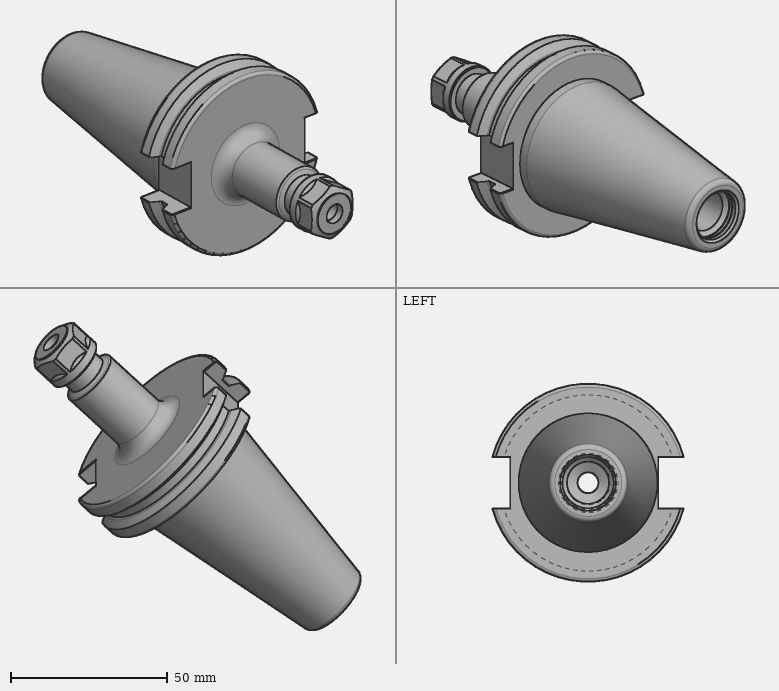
import cadquery as cq
import math


TAPER_RATIO = 7 / 24
GAUGE_DIAMETER = 44.4
GAUGE_X = 68.0
TAPER_END_FILLET = 1.8

FLANGE_DIAMETER = 63.4
FLANGE_START_X = 71.1
FLANGE_END_X = 87.2
RIM_FILLET = 1.0

GROOVE_CENTER_X = 79.2
GROOVE_TOP_WIDTH = 6.7
GROOVE_WALL_DEPTH = 2.8
GROOVE_WALL_ANGLE = 30
GROOVE_FLOOR_WIDTH = 3.0
GROOVE_FLOOR_DIAMETER = 56.4

SLOT_WIDTH = 16.2
SLOT_FLOOR_PLUS_Y = 24.9
SLOT_FLOOR_MINUS_Y = 22.5
SLOT_CHAMFER = 0.3

SHANK_DIAMETER = 19.0
SHANK_END_X = 115.1
SHANK_FILLET = 4.7
SHANK_CHAMFER = 0.8
NOSE_DIAMETER = 14.0
NOSE_STEP_X = 114.4

THROUGH_DIAMETER = 6.6
MOUTH_DIAMETER = 17.9
PILOT_DIAMETER = 16.3
PILOT_START_X = 0.8
BORE_GROOVE_DIAMETER = 16.9
BORE_GROOVE_START_X = 2.5
BORE_GROOVE_END_X = 4.0
THREAD_BORE_DIAMETER = 13.5
THREAD_BORE_END_X = 31.6
DRILL_POINT_ANGLE = 118

NUT_DIAMETER = 19.0
NUT_START_X = 120.3
NUT_END_X = 131.8
NUT_BACK_CHAMFER = 0.4
ACROSS_FLATS = 17.0
FLAT_RUNOUT_START_X = 123.6
FLAT_RUNOUT_END_X = 124.8
NUT_CHAMFER_START_X = 130.2
NUT_FACE_DIAMETER = 14.0
NUT_LIP = 0.4
NUT_WALL = 2.6

NOSE_END_X = NUT_END_X - NUT_WALL


def revolve_about_x(profile):
    """Turn a closed profile, drawn as X and radius in the XY plane, about the X axis."""
    return profile.close().revolve(360, (0, 0, 0), (1, 0, 0))


def cylinder(diameter, start_x, end_x):
    return cq.Workplane("YZ", origin=(start_x, 0, 0)).circle(diameter / 2).extrude(end_x - start_x)


def make_taper():
    small_diameter = GAUGE_DIAMETER - TAPER_RATIO * GAUGE_X
    profile = (
        cq.Workplane("XY")
        .lineTo(0, small_diameter / 2)
        .lineTo(GAUGE_X, GAUGE_DIAMETER / 2)
        .lineTo(FLANGE_START_X, GAUGE_DIAMETER / 2)
        .lineTo(FLANGE_START_X, 0)
    )
    return revolve_about_x(profile).faces("<X").edges().fillet(TAPER_END_FILLET)


def make_flange():
    rim = FLANGE_DIAMETER / 2
    floor = GROOVE_FLOOR_DIAMETER / 2
    half_top = GROOVE_TOP_WIDTH / 2
    half_neck = half_top - GROOVE_WALL_DEPTH * math.tan(math.radians(GROOVE_WALL_ANGLE))
    half_floor = GROOVE_FLOOR_WIDTH / 2
    profile = (
        cq.Workplane("XY")
        .moveTo(FLANGE_START_X, 0)
        .lineTo(FLANGE_START_X, rim)
        .lineTo(GROOVE_CENTER_X - half_top, rim)
        .lineTo(GROOVE_CENTER_X - half_neck, rim - GROOVE_WALL_DEPTH)
        .lineTo(GROOVE_CENTER_X - half_floor, floor)
        .lineTo(GROOVE_CENTER_X + half_floor, floor)
        .lineTo(GROOVE_CENTER_X + half_neck, rim - GROOVE_WALL_DEPTH)
        .lineTo(GROOVE_CENTER_X + half_top, rim)
        .lineTo(FLANGE_END_X, rim)
        .lineTo(FLANGE_END_X, 0)
    )
    return revolve_about_x(profile).faces("<X or >X").edges().fillet(RIM_FILLET)


def make_drive_slot(floor_y, side):
    """Slot cutter through the flange, open toward +Y (side 1) or -Y (side -1)."""
    length = FLANGE_END_X - FLANGE_START_X
    depth = FLANGE_DIAMETER / 2
    center = ((FLANGE_START_X + FLANGE_END_X) / 2, side * (floor_y + depth / 2), 0)
    return cq.Workplane("XY").box(length, depth, SLOT_WIDTH).translate(center)


def bevel_slot_edges(body):
    """Bevel the slot walls where they meet the two flange faces and the two rim lands."""
    land_width = (FLANGE_END_X - FLANGE_START_X) / 2 - GROOVE_TOP_WIDTH / 2
    reach = FLANGE_DIAMETER / 2
    margin = 0.1
    for wall_z in (-SLOT_WIDTH / 2, SLOT_WIDTH / 2):
        for land_x in (FLANGE_START_X, FLANGE_END_X - land_width):
            land_edges = cq.selectors.BoxSelector(
                (land_x - margin, -reach, wall_z - margin),
                (land_x + land_width + margin, reach, wall_z + margin),
            )
            body = body.edges(land_edges).chamfer(SLOT_CHAMFER)
    return body


def make_front_shank():
    shank = SHANK_DIAMETER / 2
    nose = NOSE_DIAMETER / 2
    arc_offset = SHANK_FILLET * (1 - math.sqrt(0.5))
    profile = (
        cq.Workplane("XY")
        .moveTo(FLANGE_END_X, 0)
        .lineTo(FLANGE_END_X, shank + SHANK_FILLET)
        .threePointArc(
            (FLANGE_END_X + arc_offset, shank + arc_offset),
            (FLANGE_END_X + SHANK_FILLET, shank),
        )
        .lineTo(NOSE_STEP_X - SHANK_CHAMFER / 2, shank)
        .lineTo(NOSE_STEP_X, shank - SHANK_CHAMFER)
        .lineTo(SHANK_END_X, nose)
        .lineTo(NOSE_END_X, nose)
        .lineTo(NOSE_END_X, 0)
    )
    return revolve_about_x(profile)


def make_holder_bore():
    thread = THREAD_BORE_DIAMETER / 2
    through = THROUGH_DIAMETER / 2
    pilot = PILOT_DIAMETER / 2
    groove = BORE_GROOVE_DIAMETER / 2
    point_length = (thread - through) / math.tan(math.radians(DRILL_POINT_ANGLE / 2))
    profile = (
        cq.Workplane("XY")
        .lineTo(0, MOUTH_DIAMETER / 2)
        .lineTo(PILOT_START_X, pilot)
        .lineTo(BORE_GROOVE_START_X, pilot)
        .lineTo(BORE_GROOVE_START_X, groove)
        .lineTo(BORE_GROOVE_END_X, groove)
        .lineTo(BORE_GROOVE_END_X, pilot)
        .lineTo(BORE_GROOVE_END_X + pilot - thread, thread)
        .lineTo(THREAD_BORE_END_X, thread)
        .lineTo(THREAD_BORE_END_X + point_length, through)
        .lineTo(NOSE_END_X, through)
        .lineTo(NOSE_END_X, 0)
    )
    return revolve_about_x(profile)


def make_holder():
    holder = make_taper().union(make_flange()).union(make_front_shank())
    holder = holder.cut(make_drive_slot(SLOT_FLOOR_PLUS_Y, 1))
    holder = holder.cut(make_drive_slot(SLOT_FLOOR_MINUS_Y, -1))
    holder = bevel_slot_edges(holder)
    return holder.cut(make_holder_bore())


def make_nut_blank():
    outer = NUT_DIAMETER / 2
    face = NUT_FACE_DIAMETER / 2
    profile = (
        cq.Workplane("XY")
        .moveTo(NUT_START_X, 0)
        .lineTo(NUT_START_X, outer - NUT_BACK_CHAMFER)
        .lineTo(NUT_START_X + NUT_BACK_CHAMFER, outer)
        .lineTo(NUT_CHAMFER_START_X, outer)
        .lineTo(NUT_END_X - NUT_LIP, face)
        .lineTo(NUT_END_X, face)
        .lineTo(NUT_END_X, 0)
    )
    return revolve_about_x(profile)


def make_hex_envelope():
    """Hexagonal prism with flats toward +Y and -Y, joined to a collar with a conical runout."""
    corner_diameter = ACROSS_FLATS / math.cos(math.pi / 6)
    hexagon = (
        cq.Workplane("YZ", origin=(NUT_START_X, 0, 0))
        .transformed(rotate=(0, 0, 90))
        .polygon(6, corner_diameter)
        .extrude(NUT_END_X - NUT_START_X)
    )
    collar_profile = (
        cq.Workplane("XY")
        .moveTo(NUT_START_X, 0)
        .lineTo(NUT_START_X, NUT_DIAMETER / 2)
        .lineTo(FLAT_RUNOUT_START_X, NUT_DIAMETER / 2)
        .lineTo(FLAT_RUNOUT_END_X, ACROSS_FLATS / 2)
        .lineTo(FLAT_RUNOUT_END_X, 0)
    )
    return hexagon.union(revolve_about_x(collar_profile))


def make_nut():
    nut = make_nut_blank().intersect(make_hex_envelope())
    nut = nut.cut(cylinder(NOSE_DIAMETER, NUT_START_X, NOSE_END_X))
    return nut.cut(cylinder(THROUGH_DIAMETER, NOSE_END_X, NUT_END_X))


holder = make_holder()
nut = make_nut()

result = cq.Compound.makeCompound([holder.val(), nut.val()])